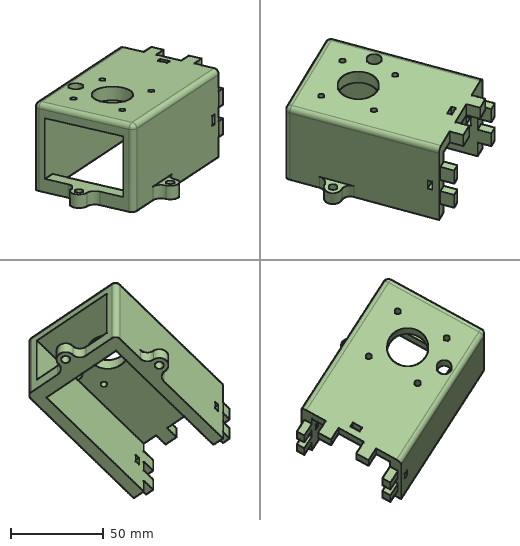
import cadquery as cq

BODY_WIDTH = 63.0
BODY_HEIGHT = 51.8
OVERALL_LENGTH = 108.6
EDGE_RADIUS = 3.0

LUG_RADIUS = 5.0
LUG_HOLE_DIAMETER = 4.8
TAB_LENGTH = 8.0
BODY_LENGTH = OVERALL_LENGTH - TAB_LENGTH - 2 * LUG_RADIUS

LEFT_WALL = 7.1
RIGHT_WALL = 6.7
TOP_WALL = 8.0
FRONT_WALL = 8.0
SILL_HEIGHT = 8.0

TOP_TAB_SPANS = [(15.7, 23.6), (39.4, 47.6)]
SIDE_TAB_SPANS = [(10.0, 19.4), (27.5, 37.1)]
SIDE_TAB_INSET = 2.0

SLOT_LENGTH = 5.8
SLOT_WIDTH = 2.7
SLOT_BACK_OFFSET = 4.0
SLOT_DEPTH = LEFT_WALL
SIDE_SLOT_Z = 23.7

CENTER_X = BODY_WIDTH / 2
CENTER_Y = 30.5
MAIN_HOLE_DIAMETER = 22.5
SCREW_HOLE_DIAMETER = 3.4
SCREW_SPACING = 30.8
WIRE_HOLE_DIAMETER = 8.3
WIRE_HOLE_X = 8.5


def block(x_span, y_span, z_span):
    """Box filling the given (start, end) span along each axis."""
    size = [end - start for start, end in (x_span, y_span, z_span)]
    corner = (x_span[0], y_span[0], z_span[0])
    return cq.Workplane("XY").box(*size, centered=False).translate(corner)


def make_body():
    """Rounded shell, open at the back and bottom, with a front window."""
    body = block((0, BODY_WIDTH), (0, BODY_LENGTH), (0, BODY_HEIGHT))
    body = body.edges("(<Y and |Z) or (>Z and |Y) or (>Z and <Y)").fillet(EDGE_RADIUS)
    inner_x = (LEFT_WALL, BODY_WIDTH - RIGHT_WALL)
    inner_top = BODY_HEIGHT - TOP_WALL
    cavity = block(inner_x, (FRONT_WALL, BODY_LENGTH), (0, inner_top))
    window = block(inner_x, (0, FRONT_WALL), (SILL_HEIGHT, inner_top))
    return body.cut(cavity).cut(window)


def make_lug():
    """Lug pointing along -Y from the origin, blended into the wall by equal concave arcs."""
    r = LUG_RADIUS
    arc_offset = r * 2 ** -0.5
    return (
        cq.Workplane("XY")
        .moveTo(-2 * r, 0)
        .threePointArc((-2 * r + arc_offset, -r + arc_offset), (-r, -r))
        .threePointArc((0, -2 * r), (r, -r))
        .threePointArc((2 * r - arc_offset, -r + arc_offset), (2 * r, 0))
        .close()
        .extrude(SILL_HEIGHT)
        .cut(cq.Workplane("XY").center(0, -r).circle(LUG_HOLE_DIAMETER / 2).extrude(SILL_HEIGHT))
    )


def add_lugs(body):
    front_lug = make_lug().translate((CENTER_X, 0, 0))
    right_lug = make_lug().rotate((0, 0, 0), (0, 0, 1), 90).translate((BODY_WIDTH, CENTER_Y, 0))
    return body.union(front_lug).union(right_lug)


def add_tabs(body):
    tab_y = (BODY_LENGTH, BODY_LENGTH + TAB_LENGTH)
    for span in TOP_TAB_SPANS:
        body = body.union(block(span, tab_y, (BODY_HEIGHT - TOP_WALL, BODY_HEIGHT)))
    left_x = (SIDE_TAB_INSET, LEFT_WALL)
    right_x = (BODY_WIDTH - RIGHT_WALL, BODY_WIDTH - SIDE_TAB_INSET)
    for span in SIDE_TAB_SPANS:
        body = body.union(block(left_x, tab_y, span)).union(block(right_x, tab_y, span))
    return body


def cut_slots(body):
    """One slot through both side walls and a blind slot in the top wall."""
    slot_end = BODY_LENGTH - SLOT_BACK_OFFSET
    slot_y = (slot_end - SLOT_WIDTH, slot_end)
    half = SLOT_LENGTH / 2
    side_slot = block((0, BODY_WIDTH), slot_y, (SIDE_SLOT_Z - half, SIDE_SLOT_Z + half))
    top_slot = block((CENTER_X - half, CENTER_X + half), slot_y, (BODY_HEIGHT - SLOT_DEPTH, BODY_HEIGHT))
    return body.cut(side_slot).cut(top_slot)


def drill_top_hole(body, x, y, diameter):
    drill = cq.Workplane("XY", origin=(x, y, BODY_HEIGHT)).circle(diameter / 2).extrude(-TOP_WALL)
    return body.cut(drill)


def cut_top_holes(body):
    body = drill_top_hole(body, CENTER_X, CENTER_Y, MAIN_HOLE_DIAMETER)
    body = drill_top_hole(body, WIRE_HOLE_X, CENTER_Y, WIRE_HOLE_DIAMETER)
    for dx in (-SCREW_SPACING / 2, SCREW_SPACING / 2):
        for dy in (-SCREW_SPACING / 2, SCREW_SPACING / 2):
            body = drill_top_hole(body, CENTER_X + dx, CENTER_Y + dy, SCREW_HOLE_DIAMETER)
    return body


shell = add_tabs(add_lugs(make_body()))
result = cut_top_holes(cut_slots(shell))